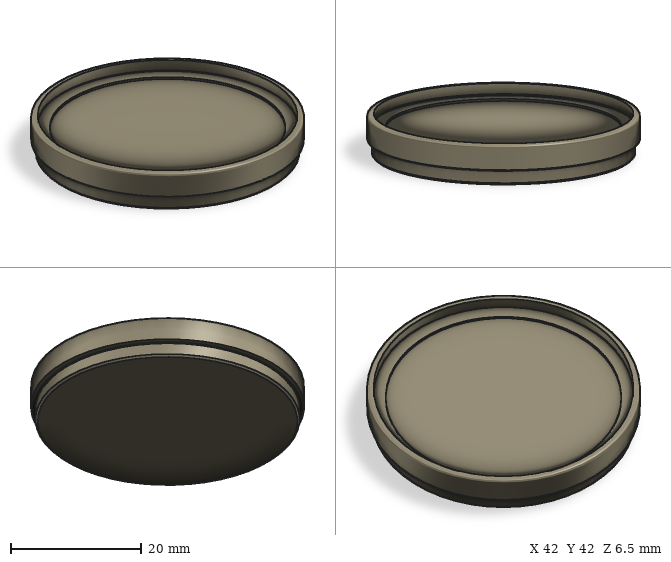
import cadquery as cq

height = 6.5
rim_diameter = 42.0

spigot_diameter = 40.57
spigot_height = 2.23
base_chamfer = 0.35
groove_diameter = 39.95
groove_width = 0.35
rim_fillet = 0.5

recess_diameter = 39.9
recess_depth = 2.0
undercut_diameter = 40.5
undercut_width = 0.3
floor_diameter = 36.2
floor_step = 0.35


def disc(diameter, bottom, thickness):
    """Solid disc on the Z axis, starting at the given height."""
    return cq.Workplane("XY").workplane(offset=bottom).circle(diameter / 2).extrude(thickness)


rim_bottom = spigot_height + groove_width
spigot = disc(spigot_diameter, 0, spigot_height).faces("<Z").edges().chamfer(base_chamfer)
groove_core = disc(groove_diameter, spigot_height, groove_width)
rim = disc(rim_diameter, rim_bottom, height - rim_bottom).faces(">Z").edges().fillet(rim_fillet)
body = spigot.union(groove_core).union(rim)

ledge_height = height - recess_depth
recess = disc(recess_diameter, ledge_height, recess_depth)
undercut = disc(undercut_diameter, ledge_height, undercut_width)
sunken_floor = disc(floor_diameter, ledge_height - floor_step, floor_step)

result = body.cut(recess).cut(undercut).cut(sunken_floor)